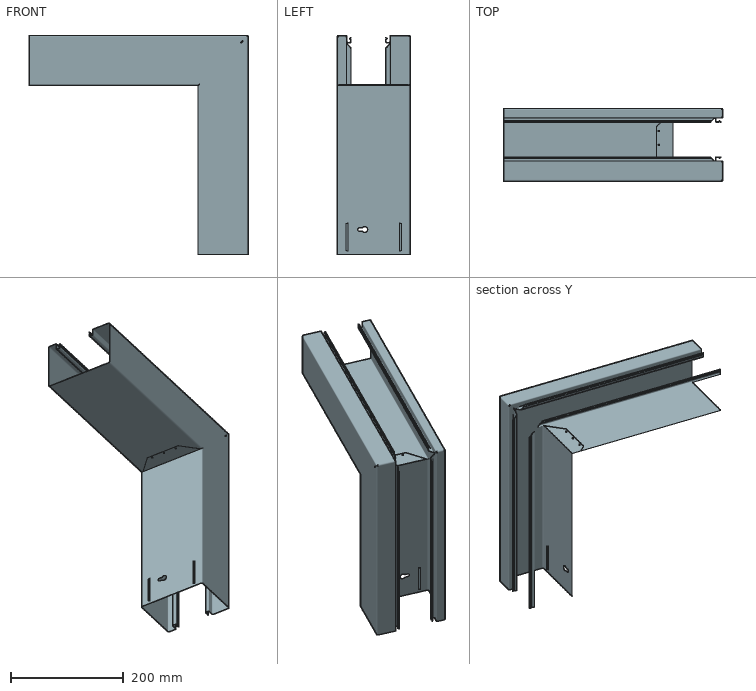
import cadquery as cq
import math


sheet = 1.0
width = 130.0
height = 89.52
inner_leg_length = 300.0
leg_length = inner_leg_length + height
bend_radius = 3.0
back_flange = 17.4
front_flange = 36.5

lip_depth = 13.4
lip_reach = 7.3
lip_top = 3.5
notch_depth = 1.6
notch_center = 6.0
notch_half_height = 1.6
lip_bend_radius = 2.0
flange_stub = 5.0
lip_end_setback = 1.7

tab_length = 28.5
tab_root_half_width = 61.0
tab_hole_diameter = 2.5
tab_hole_pitch = 24.8
tab_hole_inset = 4.3

relief_center = 11.6
relief_length = 5.0
relief_width = 1.6

keyhole_y = 16.1
keyhole_height = 44.5
keyhole_diameter = 10.0
keyhole_slot_width = 6.0
keyhole_slot_end = 12.3
louvre_hinge_y = 45.7
louvre_width = 3.6
louvre_length = 50.0
louvre_height = 31.0
louvre_taper = 1.2
louvre_sink = 1.5

back_edge = width / 2 - back_flange
front_edge = -width / 2 + front_flange
bottom_z = -leg_length
floor_outside = -height
floor_inside = floor_outside + sheet


def rounded_bar(inset, radius):
    """Solid bar along the upper leg, inset from the outside of the cross-section."""
    return (
        cq.Workplane("YZ", origin=(-leg_length, 0, -height / 2))
        .rect(width - 2 * inset, height - 2 * inset)
        .extrude(leg_length)
        .edges("|X")
        .fillet(radius)
    )


def thick_outline(path):
    """Closed outline of a strip one sheet thick lying to the left of an open path."""
    directions = []
    for (y0, z0), (y1, z1) in zip(path, path[1:]):
        directions.append(math.atan2(z1 - z0, y1 - y0))
    before = directions[:1] + directions
    after = directions + directions[-1:]
    offset_side = []
    for (y, z), a, b in zip(path, before, after):
        normal = (a + b) / 2 + math.pi / 2
        distance = sheet / math.cos((b - a) / 2)
        offset_side.append((y + distance * math.cos(normal), z + distance * math.sin(normal)))
    return path + offset_side[::-1]


def lip_strip():
    """Flange edge, drop, ledge and notched upstand for an opening on the +Y side of Y = 0."""
    path = [
        (-flange_stub, -sheet),
        (-sheet, -sheet),
        (-sheet, -lip_depth),
        (lip_reach, -lip_depth),
        (lip_reach, -notch_center - notch_half_height),
        (lip_reach - notch_depth, -notch_center),
        (lip_reach, -notch_center + notch_half_height),
        (lip_reach, -lip_top),
    ]
    strip = cq.Workplane("YZ").polyline(thick_outline(path)).close().extrude(-leg_length)

    inner_radius = lip_bend_radius - sheet
    bends = [
        (0, 0, lip_bend_radius),
        (-sheet, -sheet, inner_radius),
        (-sheet, -lip_depth, lip_bend_radius),
        (0, -lip_depth + sheet, inner_radius),
        (lip_reach, -lip_depth, lip_bend_radius),
        (lip_reach - sheet, -lip_depth + sheet, inner_radius),
    ]
    for y, z, radius in bends:
        corner_edge = cq.selectors.NearestToPointSelector((-leg_length / 2, y, z))
        strip = strip.edges("|X").edges(corner_edge).fillet(radius)
    return strip


def lip_end_cuts():
    """Waste that bevels the ledge and the upstand at 45 degrees short of the mitre."""
    ledge_end = -lip_depth - lip_end_setback
    upstand_end = ledge_end - lip_reach
    ledge_waste = (
        cq.Workplane("XY")
        .polyline([(0, 0), (ledge_end, 0), (upstand_end, lip_reach), (0, lip_reach)])
        .close()
        .extrude(-height)
    )
    upstand_foot = lip_bend_radius - lip_depth
    upstand_waste = (
        cq.Workplane("XZ", origin=(0, lip_reach, 0))
        .polyline([(0, upstand_foot), (upstand_end, upstand_foot), (upstand_end + upstand_foot, 0), (0, 0)])
        .close()
        .extrude(notch_depth + sheet)
    )
    return ledge_waste.union(upstand_waste)


def straight_leg():
    """Upper leg with rounded bends, running along -X and square at both ends."""
    opening_start = front_edge - flange_stub
    opening_width = back_edge + flange_stub - opening_start
    opening = (
        cq.Workplane("XY")
        .box(leg_length, opening_width, height / 2, centered=False)
        .translate((-leg_length, opening_start, -height / 2))
    )
    leg = rounded_bar(0, bend_radius).cut(rounded_bar(sheet, bend_radius - sheet)).cut(opening)
    lip = lip_strip().cut(lip_end_cuts())
    front_lip = lip.translate((0, front_edge, 0))
    back_lip = lip.mirror("XZ").translate((0, back_edge, 0))
    return leg.union(front_lip).union(back_lip)


def mitred_leg():
    """Upper leg cut on the 45 degree plane through the outer corner."""
    waste = (
        cq.Workplane("XZ", origin=(0, width, 0))
        .polyline([(0, 0), (-2 * height, -2 * height), (height, -2 * height), (height, 0)])
        .close()
        .extrude(2 * width)
    )
    return straight_leg().cut(waste)


def corner_sliver(depth, radius, start_y, end_y):
    """Sliver between a sharp mitre corner at the given depth and the arc that rounds it."""
    sharp = -depth
    tangent = sharp - radius
    arc_middle = tangent + radius * math.sqrt(0.5)
    return (
        cq.Workplane("XZ", origin=(0, end_y, 0))
        .moveTo(sharp, sharp)
        .lineTo(sharp, tangent)
        .threePointArc((arc_middle, arc_middle), (tangent, sharp))
        .close()
        .extrude(end_y - start_y)
    )


def round_outer_corner(body):
    """Round the corner where the flanges of both legs meet, on both faces of the sheet."""
    wall_inside = width / 2 - sheet
    inner_radius = bend_radius - sheet
    for start_y, end_y in ((-wall_inside, front_edge), (back_edge, wall_inside)):
        body = body.union(corner_sliver(sheet, inner_radius, start_y, end_y))
    return body.cut(corner_sliver(0, bend_radius, -width, width))


def joining_tab():
    """Tapered tab of the lower leg lying on the floor of the upper leg, with a row of three holes."""
    tip_x = floor_outside - tab_length
    tip_half_width = tab_root_half_width - tab_length
    tab = (
        cq.Workplane("XY", origin=(0, 0, floor_inside))
        .polyline(
            [
                (floor_inside, -tab_root_half_width),
                (tip_x, -tip_half_width),
                (tip_x, tip_half_width),
                (floor_inside, tab_root_half_width),
            ]
        )
        .close()
        .extrude(sheet)
    )
    holes = (
        cq.Workplane("XY", origin=(tip_x + tab_hole_inset, 0, floor_inside))
        .rarray(1, tab_hole_pitch, 1, 3)
        .circle(tab_hole_diameter / 2)
        .extrude(sheet)
    )
    return tab.cut(holes)


def relief_slot():
    """Slot along the mitre line, passing through both side walls and the lips."""
    return (
        cq.Workplane("XZ", origin=(-relief_center, width, -relief_center))
        .transformed(rotate=(0, 0, 45))
        .slot2D(relief_length, relief_width)
        .extrude(2 * width)
    )


def keyhole():
    """Keyhole through the floor of the lower leg, its narrow end pointing to +Y."""
    floor = cq.Workplane("YZ", origin=(floor_outside, keyhole_y, bottom_z + keyhole_height))
    round_part = floor.circle(keyhole_diameter / 2).extrude(sheet)
    slot_length = keyhole_slot_end + keyhole_slot_width / 2
    slot_center = slot_length / 2 - keyhole_slot_width / 2
    narrow_part = floor.center(slot_center, 0).slot2D(slot_length, keyhole_slot_width).extrude(sheet)
    return round_part.union(narrow_part)


def louvre_outline(side):
    """Tapered outline on the floor of the lower leg, longest along the hinge side."""
    hinge = side * louvre_hinge_y
    free = side * (louvre_hinge_y + louvre_width)
    long_half = louvre_length / 2
    short_half = long_half - louvre_taper
    return (
        cq.Workplane("YZ", origin=(floor_outside, 0, bottom_z + louvre_height))
        .polyline([(hinge, -long_half), (free, -short_half), (free, short_half), (hinge, long_half)])
        .close()
    )


def louvre_flap(side):
    """Sheet flap leaning inwards from its hinge line to its free edge."""
    hinge = side * louvre_hinge_y
    free = side * (louvre_hinge_y + louvre_width)
    leaning_sheet = (
        cq.Workplane("XY", origin=(0, 0, bottom_z))
        .polyline(
            [
                (floor_outside, hinge),
                (floor_outside + louvre_sink, free),
                (floor_inside + louvre_sink, free),
                (floor_inside, hinge),
            ]
        )
        .close()
        .extrude(louvre_height + louvre_length)
    )
    return leaning_sheet.intersect(louvre_outline(side).extrude(sheet + louvre_sink))


leg = mitred_leg()
result = leg.union(leg.mirror(cq.Vector(1, 0, -1), (0, 0, 0)))
result = round_outer_corner(result)
result = result.cut(relief_slot()).cut(keyhole()).union(joining_tab())
for side in (-1, 1):
    result = result.cut(louvre_outline(side).extrude(sheet)).union(louvre_flap(side))